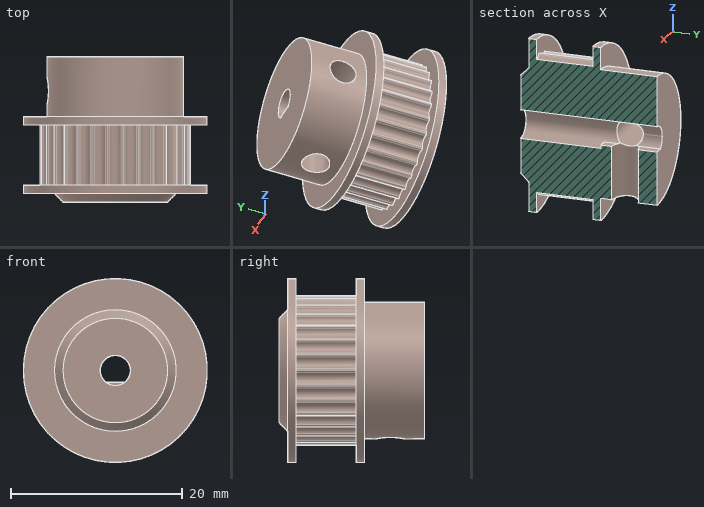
import cadquery as cq
import math


nose_length = 1.0
flange_thickness = 1.0
belt_width = 7.0
hub_length = 7.0

flange_diameter = 21.5
hub_diameter = 16.0
nose_base_diameter = 14.2
nose_tip_diameter = nose_base_diameter - 2 * nose_length

tooth_count = 30
tooth_tip_radius = 8.8
groove_radius = 0.8
groove_center_radius = 9.085
tip_fillet_radius = 0.25

bore_diameter = 3.5
bore_flat_distance = 1.35

screw_hole_diameter = 3.3
screw_hole_to_hub_end = 4.0

front_flange_start = nose_length
belt_start = front_flange_start + flange_thickness
rear_flange_start = belt_start + belt_width
hub_start = rear_flange_start + flange_thickness
total_length = hub_start + hub_length
screw_hole_y = total_length - screw_hole_to_hub_end


def plane_at(y):
    """Sketch plane across the axis, with local x = -X, local y = Z and normal = +Y."""
    return cq.Plane(origin=(0, y, 0), xDir=(-1, 0, 0), normal=(0, 1, 0))


def disc(y, length, diameter):
    return cq.Workplane(plane_at(y)).circle(diameter / 2).extrude(length)


def polar(radius, angle):
    return (radius * math.cos(angle), radius * math.sin(angle))


def point_towards(start, target, distance):
    """Point at the given distance from start on the line to target."""
    ratio = distance / math.dist(start, target)
    return tuple(s + ratio * (t - s) for s, t in zip(start, target))


def toothed_ring():
    """Round grooves between teeth whose tips are rounded into a narrow land."""
    half_pitch = math.pi / tooth_count
    fillet_center_radius = tooth_tip_radius - tip_fillet_radius

    center_distance = groove_radius + tip_fillet_radius
    cos_offset = (
        fillet_center_radius**2 + groove_center_radius**2 - center_distance**2
    ) / (2 * fillet_center_radius * groove_center_radius)
    fillet_offset = math.acos(cos_offset)
    root_radius = groove_center_radius - groove_radius

    def tip_fillet(groove_angle, side):
        """Land end, middle and groove end of the fillet on one side of a groove."""
        fillet_angle = groove_angle + side * fillet_offset
        center = polar(fillet_center_radius, fillet_angle)
        groove_center = polar(groove_center_radius, groove_angle)
        land_end = polar(tooth_tip_radius, fillet_angle)
        groove_end = point_towards(center, groove_center, tip_fillet_radius)
        chord_middle = tuple((a + b) / 2 for a, b in zip(land_end, groove_end))
        middle = point_towards(center, chord_middle, tip_fillet_radius)
        return land_end, middle, groove_end

    first_land_start = tip_fillet(-half_pitch, 1)[0]
    profile = cq.Workplane(plane_at(belt_start)).moveTo(*first_land_start)
    for tooth in range(tooth_count):
        tooth_angle = 2 * half_pitch * tooth
        groove_angle = tooth_angle + half_pitch
        land_end, middle, groove_end = tip_fillet(groove_angle, -1)
        profile = profile.threePointArc(polar(tooth_tip_radius, tooth_angle), land_end)
        profile = profile.threePointArc(middle, groove_end)
        land_end, middle, groove_end = tip_fillet(groove_angle, 1)
        profile = profile.threePointArc(polar(root_radius, groove_angle), groove_end)
        profile = profile.threePointArc(middle, land_end)
    return profile.close().extrude(belt_width)


def nose():
    return (
        cq.Workplane(plane_at(0))
        .circle(nose_tip_diameter / 2)
        .workplane(offset=nose_length)
        .circle(nose_base_diameter / 2)
        .loft()
    )


def bore():
    """Round through the nose, flanges and teeth, D-shaped along the hub."""
    flat_filler = (
        cq.Workplane(plane_at(hub_start))
        .center(0, -bore_flat_distance - bore_diameter / 2)
        .rect(bore_diameter, bore_diameter)
        .extrude(hub_length)
    )
    return disc(0, total_length, bore_diameter).cut(flat_filler)


def screw_hole(direction):
    """Radial hole from the axis out through the hub wall."""
    return cq.Workplane(
        cq.Solid.makeCylinder(
            screw_hole_diameter / 2,
            hub_diameter,
            cq.Vector(0, screw_hole_y, 0),
            cq.Vector(*direction),
        )
    )


body = nose()
body = body.union(disc(front_flange_start, flange_thickness, flange_diameter))
body = body.union(toothed_ring())
body = body.union(disc(rear_flange_start, flange_thickness, flange_diameter))
body = body.union(disc(hub_start, hub_length, hub_diameter))

body = body.cut(bore())
for direction in ((-1, 0, 0), (0, 0, -1)):
    body = body.cut(screw_hole(direction))

result = body